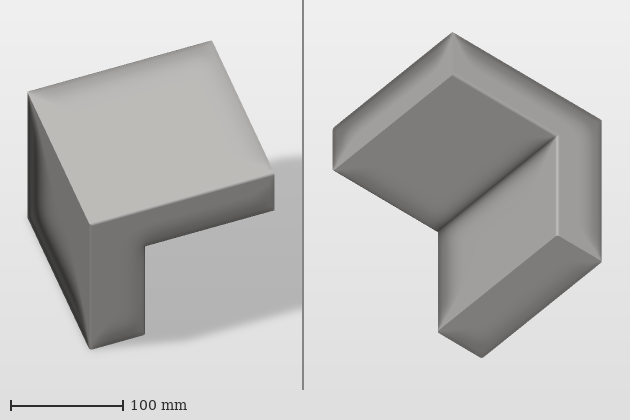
import cadquery as cq

WIDTH = 165.0
LEG_LENGTH = 175.0
THICKNESS = 53.0
EDGE_RADIUS = 2.5



def mitre_prism(free_end_outer, free_end_inner):
    """Prism across the width, bounded on one side by the 45 degree mitre plane."""
    outer_corner = (0, 0)
    inner_corner = (THICKNESS, -THICKNESS)
    outline = [outer_corner, free_end_outer, free_end_inner, inner_corner]
    return cq.Workplane("YZ").polyline(outline).close().extrude(WIDTH / 2, both=True)


def make_horizontal_leg():
    beam = (
        cq.Workplane("XY")
        .box(WIDTH, LEG_LENGTH, THICKNESS)
        .translate((0, LEG_LENGTH / 2, -THICKNESS / 2))
        .edges("|Y")
        .fillet(EDGE_RADIUS)
    )
    return beam.intersect(mitre_prism((LEG_LENGTH, 0), (LEG_LENGTH, -THICKNESS)))


def make_vertical_leg():
    beam = (
        cq.Workplane("XY")
        .box(WIDTH, THICKNESS, LEG_LENGTH)
        .translate((0, THICKNESS / 2, -LEG_LENGTH / 2))
        .edges("|Z")
        .fillet(EDGE_RADIUS)
    )
    return beam.intersect(mitre_prism((0, -LEG_LENGTH), (THICKNESS, -LEG_LENGTH)))


horizontal_leg = make_horizontal_leg()
vertical_leg = make_vertical_leg()

result = cq.Compound.makeCompound([horizontal_leg.solids().val(), vertical_leg.solids().val()])